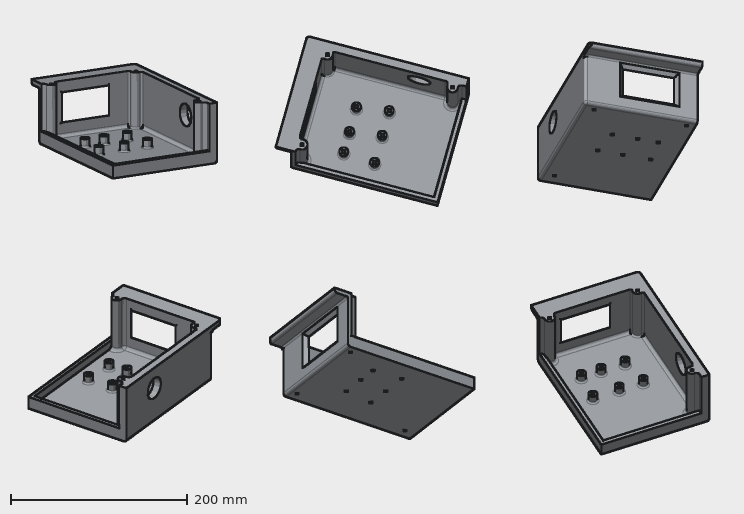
import cadquery as cq
import math

LENGTH = 190.0
WIDTH = 135.0
HEIGHT = 71.0

FLOOR = 5.0
LEFT_WALL = 5.1
BACK_WALL = 10.0
RIM_HEIGHT = 15.2
FRONT_RIM = 5.0
RIGHT_RIM = 5.5
FLANGE_REACH = 18.0
FLANGE_THICKNESS = 6.0
LARGE_RADIUS = 4.0
SMALL_RADIUS = LARGE_RADIUS / 2

BOSS_RADIUS = 6.0
BOSS_HOLE = 3.5
BOSS_LEFT_X = 28.1
BOSS_RIGHT_X = 175.0
BOSS_FRONT_Y = 10.3
BOSS_BACK_Y = 120.0

STANDOFF_DIAMETER = 10.0
STANDOFF_HOLE = 4.0
STANDOFF_HEIGHT = 10.0
STANDOFF_COLUMNS = {
    71.8: (29.6, 54.3, 84.4),
    108.9: (27.0, 59.8, 89.9),
}

CABLE_HOLE = 26.0
CABLE_HOLE_X = 134.3
CABLE_HOLE_Z = 44.5
WINDOW_FRONT_Y = 27.0
WINDOW_WIDTH = 60.6
WINDOW_BOTTOM_Z = 22.2
WINDOW_HEIGHT = 35.2

INNER_X = FLANGE_REACH + LEFT_WALL
INNER_Y = WIDTH - BACK_WALL
TOLERANCE = 0.002


def box(x0, x1, y0, y1, z0, z1):
    corner = cq.Workplane("XY", origin=(x0, y0, z0))
    return corner.box(x1 - x0, y1 - y0, z1 - z0, centered=False)


def cylinder(x, y, diameter, z0, z1):
    return cq.Workplane("XY", origin=(x, y, z0)).circle(diameter / 2).extrude(z1 - z0)


def near(a, b):
    return abs(a - b) < TOLERANCE


def boss(x, y):
    return cylinder(x, y, 2 * BOSS_RADIUS, FLOOR, HEIGHT)


def corner_boss():
    """Back left boss, filled up to the corner where the two walls meet."""
    filler = box(INNER_X, BOSS_LEFT_X, BOSS_BACK_Y, INNER_Y, FLOOR, HEIGHT)
    return boss(BOSS_LEFT_X, BOSS_BACK_Y).union(filler)


def blend_reach(wall_distance, radius):
    """Distance along a wall from a boss axis to the end of the blend between boss and wall."""
    return math.sqrt((BOSS_RADIUS + radius) ** 2 - (wall_distance - radius) ** 2)


def corner_clearance():
    """Space around the back left boss that the wide wall blends stay out of."""
    x_end = BOSS_LEFT_X + blend_reach(INNER_Y - BOSS_BACK_Y, SMALL_RADIUS)
    y_end = BOSS_BACK_Y - blend_reach(BOSS_LEFT_X - INNER_X, SMALL_RADIUS)
    return box(INNER_X, x_end, y_end, INNER_Y, FLOOR, HEIGHT)


def is_boss_junction(edge):
    """Upright edge where a boss meets one wall."""
    c = edge.Center()
    on_left = near(c.x, INNER_X) and TOLERANCE < c.y < INNER_Y - TOLERANCE
    on_back = near(c.y, INNER_Y) and INNER_X + TOLERANCE < c.x < LENGTH - TOLERANCE
    return on_left or on_back


def is_floor_junction(edge):
    """Edge where the floor meets a wall or a boss."""
    bounds = edge.BoundingBox()
    c = edge.Center()
    on_floor = near(bounds.zmin, FLOOR) and near(bounds.zmax, FLOOR)
    inside = c.x < LENGTH - TOLERANCE and c.y > TOLERANCE
    return on_floor and inside and c.x > INNER_X - TOLERANCE and c.y < INNER_Y + TOLERANCE


def tray(bosses, radius):
    """Floor, left wall and back wall with bosses, all blended by one radius."""
    body = box(FLANGE_REACH, LENGTH, 0, WIDTH, 0, HEIGHT)
    body = body.cut(box(INNER_X, LENGTH, 0, INNER_Y, FLOOR, HEIGHT))
    for column in bosses:
        body = body.union(column)
    body = body.newObject(body.edges("|Z").filter(is_boss_junction).vals()).fillet(radius)
    return body.newObject(body.edges().filter(is_floor_junction).vals()).fillet(radius)


def outer_envelope():
    """Side profile with the flange, swept along Y, with its back left edges rounded."""
    flange_z = HEIGHT - FLANGE_THICKNESS
    profile = (
        cq.Workplane("XZ")
        .moveTo(0, HEIGHT)
        .lineTo(0, flange_z + LARGE_RADIUS)
        .radiusArc((LARGE_RADIUS, flange_z), -LARGE_RADIUS)
        .lineTo(FLANGE_REACH - SMALL_RADIUS, flange_z)
        .radiusArc((FLANGE_REACH, flange_z - SMALL_RADIUS), SMALL_RADIUS)
        .lineTo(FLANGE_REACH, 0)
        .lineTo(LENGTH, 0)
        .lineTo(LENGTH, HEIGHT)
        .close()
        .extrude(-WIDTH)
    )
    flange_limit = box(0, LENGTH, 0, WIDTH, 0, HEIGHT).edges("|Z and <X and >Y").fillet(LARGE_RADIUS)
    body_limit = box(FLANGE_REACH, LENGTH, 0, WIDTH, 0, HEIGHT)
    body_limit = body_limit.edges("(|Z and <X and >Y) or (<Z and <X) or (<Z and >Y)").fillet(LARGE_RADIUS)
    flange_zone = box(0, LENGTH, 0, WIDTH, flange_z - SMALL_RADIUS, HEIGHT)
    return profile.intersect(flange_limit).intersect(body_limit.union(flange_zone))


def standoff(x, y):
    """Post on a patch of floor, blended where the two meet."""
    reach = STANDOFF_DIAMETER
    patch = box(x - reach, x + reach, y - reach, y + reach, 0, FLOOR)
    post = patch.union(cylinder(x, y, STANDOFF_DIAMETER, 0, FLOOR + STANDOFF_HEIGHT))
    base_edge = cq.selectors.NearestToPointSelector((x, y, FLOOR))
    return post.edges(base_edge).fillet(SMALL_RADIUS)


def window():
    """Rectangular opening whose four sides flare outward at 45 degrees."""
    center = (INNER_X, WINDOW_FRONT_Y + WINDOW_WIDTH / 2, WINDOW_BOTTOM_Z + WINDOW_HEIGHT / 2)
    return (
        cq.Workplane("YZ", origin=center)
        .rect(WINDOW_WIDTH, WINDOW_HEIGHT)
        .workplane(offset=-LEFT_WALL)
        .rect(WINDOW_WIDTH + 2 * LEFT_WALL, WINDOW_HEIGHT + 2 * LEFT_WALL)
        .loft(ruled=True)
    )


wall_bosses = [boss(BOSS_LEFT_X, BOSS_FRONT_Y), boss(BOSS_RIGHT_X, BOSS_BACK_Y)]
result = tray(wall_bosses, LARGE_RADIUS).cut(corner_clearance())
result = result.union(tray([corner_boss()], SMALL_RADIUS))

result = result.union(box(INNER_X, LENGTH, 0, FRONT_RIM, 0, RIM_HEIGHT))
result = result.union(box(LENGTH - RIGHT_RIM, LENGTH, 0, INNER_Y, 0, RIM_HEIGHT))
result = result.union(box(0, FLANGE_REACH, 0, WIDTH, 0, HEIGHT))
result = result.intersect(outer_envelope())

for column_x, rows in STANDOFF_COLUMNS.items():
    for row_y in rows:
        result = result.union(standoff(column_x, row_y))
        result = result.cut(cylinder(column_x, row_y, STANDOFF_HOLE, 0, HEIGHT))

for hole_x, hole_y in (
    (BOSS_LEFT_X, BOSS_FRONT_Y),
    (BOSS_LEFT_X, BOSS_BACK_Y),
    (BOSS_RIGHT_X, BOSS_BACK_Y),
):
    result = result.cut(cylinder(hole_x, hole_y, BOSS_HOLE, 0, HEIGHT))

cable_center = (CABLE_HOLE_X, INNER_Y, CABLE_HOLE_Z)
cable_hole = cq.Workplane("XZ", origin=cable_center).circle(CABLE_HOLE / 2).extrude(-BACK_WALL)
result = result.cut(cable_hole).cut(window())